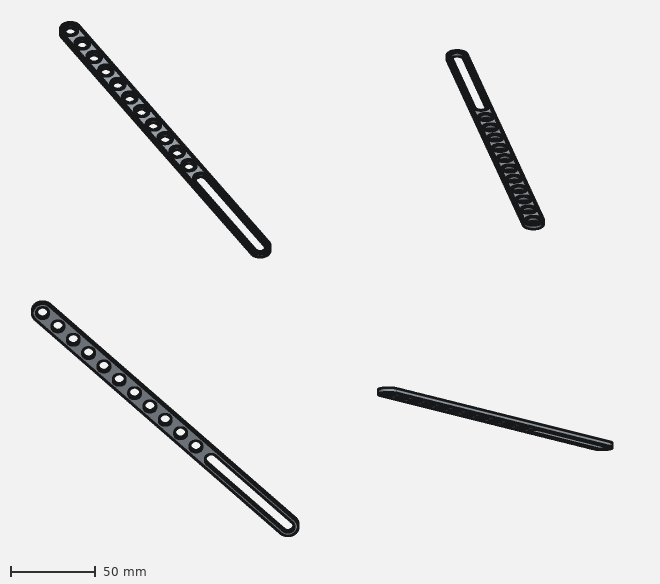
import cadquery as cq

length = 212.5
pitch_count = 17
pitch = length / pitch_count
width = pitch
thickness = pitch / 4

hole_count = 11
hole_diameter = 7.0
rim_width = 1.0
recess_depth = 0.2
edge_chamfer = 0.3

first_hole_x = (pitch - length) / 2
hole_positions = [first_hole_x + i * pitch for i in range(hole_count)]

slot_start_x = first_hole_x + hole_count * pitch
slot_end_x = -first_hole_x
slot_centre_x = (slot_start_x + slot_end_x) / 2
slot_travel = slot_end_x - slot_start_x


def round_ended_bar(bar_length, bar_width, height):
    """Bar along X with half-round ends, centred on the origin, bottom at Z = 0."""
    return cq.Workplane("XY").slot2D(bar_length, bar_width).extrude(height)


def openings(diameter):
    """Full-height solid filling the holes and the slot at the given diameter."""
    holes = cq.Workplane("XY").pushPoints([(x, 0) for x in hole_positions])
    slot = round_ended_bar(slot_travel + diameter, diameter, thickness)
    return holes.circle(diameter / 2).extrude(thickness).union(slot.translate((slot_centre_x, 0, 0)))


def make_perforated_strip():
    """Strip with its openings, chamfered along every edge of both flat faces."""
    strip = round_ended_bar(length, width, thickness).cut(openings(hole_diameter))
    return strip.faces("|Z").edges().chamfer(edge_chamfer)


def make_recess():
    """Recess in the top face, between the outline rim and the rims of the openings."""
    inside_rim = round_ended_bar(length - 2 * rim_width, width - 2 * rim_width, thickness)
    area = inside_rim.cut(openings(hole_diameter + 2 * rim_width))
    return area.translate((0, 0, thickness - recess_depth))


result = make_perforated_strip().cut(make_recess())